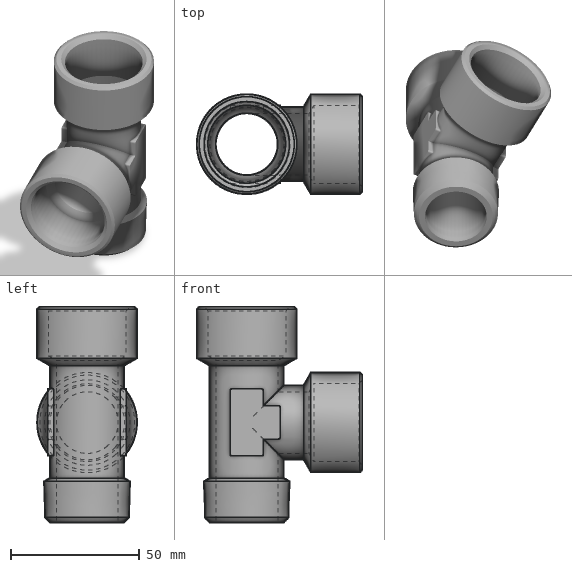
import cadquery as cq
import math


reach = 45.0
spigot_reach = 39.0
body_diameter = 29.0
bore_diameter = 24.0
thread_gauge_diameter = 33.25

socket_diameter = 39.0
socket_length = 20.0
rim_chamfer = 1.0
thread_bore_diameter = 30.29
thread_bore_depth = 19.0
shoulder_slope = math.tan(math.radians(30))

thread_gauge_length = 10.4
spigot_length = 16.0
spigot_end_chamfer = 2.0
taper_ratio = 1 / 16

pad_module = 6.5
pad_half_height = 2 * pad_module
pad_arm_reach = 2 * pad_module
pad_face_offset = 15.2
pad_corner_radius = 0.7

body_radius = body_diameter / 2
bore_radius = bore_diameter / 2


def revolve_profile(points):
    """Solid of revolution about Z from (radius, z) points."""
    return cq.Workplane("YZ").polyline(points).close().revolve(360, (0, 0), (0, 1))


def turn_to_branch(shape):
    """Swing a shape from the run axis (+Z) to the branch axis (+X)."""
    return shape.rotate((0, 0, 0), (0, 1, 0), 90)


def socket_outline():
    """(radius, z) points of a socket's outside, from its shoulder up to the axis at its face."""
    radius = socket_diameter / 2
    socket_start = reach - socket_length
    shoulder_start = socket_start - (radius - body_radius) * shoulder_slope
    return [
        (body_radius, shoulder_start),
        (radius, socket_start),
        (radius, reach - rim_chamfer),
        (radius - rim_chamfer, reach),
        (0, reach),
    ]


def spigot_outline():
    """(radius, z) points of the spigot's outside, from the axis at its face up to its shoulder."""
    gauge_radius = thread_gauge_diameter / 2
    taper_slope = taper_ratio / 2
    large_radius = gauge_radius + (spigot_length - thread_gauge_length) * taper_slope
    small_radius = gauge_radius - (thread_gauge_length - spigot_end_chamfer) * taper_slope
    taper_top = spigot_length - spigot_reach
    shoulder_top = taper_top + (large_radius - body_radius) * shoulder_slope
    return [
        (0, -spigot_reach),
        (small_radius - spigot_end_chamfer, -spigot_reach),
        (small_radius, spigot_end_chamfer - spigot_reach),
        (large_radius, taper_top),
        (body_radius, shoulder_top),
    ]


def run_outside():
    """Solid run of the tee: spigot, body and top socket in one turned shape."""
    return revolve_profile(spigot_outline() + socket_outline())


def branch_outside():
    """Solid branch, from the centre to its socket face along +X."""
    centre_end = [(0, 0), (body_radius, 0)]
    return turn_to_branch(revolve_profile(centre_end + socket_outline()))


def socket_inside():
    """Through bore, conical step, thread bore and mouth chamfer."""
    thread_radius = thread_bore_diameter / 2
    mouth_radius = thread_gauge_diameter / 2
    thread_start = reach - thread_bore_depth
    cone_start = thread_start - (thread_radius - bore_radius) * shoulder_slope
    mouth_start = reach - (mouth_radius - thread_radius)
    return revolve_profile([
        (0, 0),
        (bore_radius, 0),
        (bore_radius, cone_start),
        (thread_radius, thread_start),
        (thread_radius, mouth_start),
        (mouth_radius, reach),
        (0, reach),
    ])


def wrench_pads():
    """T-shaped block running through the body, leaving one flat on each side."""
    width = 2 * pad_face_offset
    plate = cq.Workplane("XY").box(2 * pad_module, width, 2 * pad_half_height)
    arm = (
        cq.Workplane("XY")
        .box(pad_arm_reach, width, 2 * pad_module)
        .translate((pad_arm_reach / 2, 0, 0))
        .edges("|Y and >X")
        .fillet(pad_corner_radius)
    )
    return plate.edges("|Y").fillet(pad_corner_radius).union(arm)


spigot_bore = cq.Workplane("XY").circle(bore_radius).extrude(-spigot_reach)

result = (
    run_outside()
    .union(branch_outside())
    .union(wrench_pads())
    .cut(socket_inside())
    .cut(turn_to_branch(socket_inside()))
    .cut(spigot_bore)
)